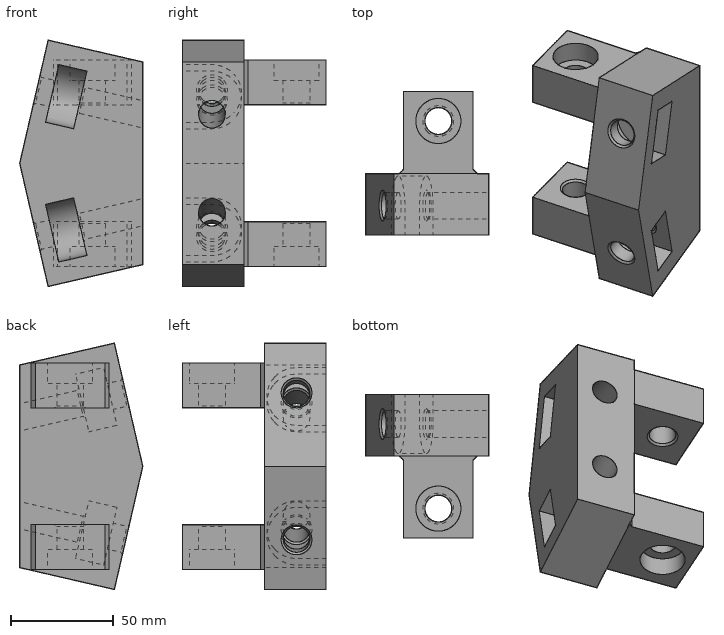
import cadquery as cq
import math

HEIGHT = 120.0
WIDTH = 60.0
THICKNESS = 30.0
SLOPE = 13.0
HALF_HEIGHT = HEIGHT / 2

HOLE_DIAMETER = 13.0
HOLE_CHAMFER = 1.0

HOLE_Z = 35.8
HOLE_Y = 14.4

SLOT_WIDTH = 14.0
SLOT_LENGTH = 28.8
SLOT_SETBACK = 7.8

ARM_LENGTH = 40.0
ARM_WIDTH = 34.0
ARM_HEIGHT = 22.0
ARM_X = 35.4
ARM_Z = 39.4
ARM_HOLE_INSET = 14.4
COUNTERBORE_DIAMETER = 22.0
COUNTERBORE_DEPTH = 10.0
FLARE = 2.0

SLOPE_TAN = math.tan(math.radians(SLOPE))
SLOPE_COS = math.cos(math.radians(SLOPE))
SLOPE_SIN = math.sin(math.radians(SLOPE))
ARM_END_Y = THICKNESS + ARM_LENGTH


def make_plate():
    corner_x = HALF_HEIGHT * SLOPE_TAN
    right_z = HALF_HEIGHT - (WIDTH - corner_x) * SLOPE_TAN
    outline = [
        (0, 0),
        (corner_x, HALF_HEIGHT),
        (WIDTH, right_z),
        (WIDTH, -right_z),
        (corner_x, -HALF_HEIGHT),
    ]
    return cq.Workplane("XZ").polyline(outline).close().extrude(-THICKNESS)


def make_hole_chamfer(face, direction):
    """Cone that breaks the edge of a hole; direction is +1 or -1 along the normal of the face."""
    return (
        face.circle(HOLE_DIAMETER / 2 + HOLE_CHAMFER)
        .workplane(offset=direction * HOLE_CHAMFER)
        .circle(HOLE_DIAMETER / 2)
        .loft(ruled=True)
    )


def make_arm(side):
    """Arm with a flared root; side is +1 (upper) or -1 (lower).

    Its hole is counterbored on the outer face and chamfered on the inner one.
    """
    half = ARM_WIDTH / 2
    flare_y = THICKNESS + FLARE
    outline = [
        (ARM_X - half - FLARE, THICKNESS),
        (ARM_X - half, flare_y),
        (ARM_X - half, ARM_END_Y),
        (ARM_X + half, ARM_END_Y),
        (ARM_X + half, flare_y),
        (ARM_X + half + FLARE, THICKNESS),
    ]
    outer_z = side * (ARM_Z + ARM_HEIGHT / 2)
    inward = -side
    base = cq.Workplane("XY", origin=(0, 0, outer_z))
    arm = base.polyline(outline).close().extrude(inward * ARM_HEIGHT)
    outer_face = cq.Workplane("XY", origin=(ARM_X, ARM_END_Y - ARM_HOLE_INSET, outer_z))
    hole = outer_face.circle(HOLE_DIAMETER / 2).extrude(inward * ARM_HEIGHT)
    counterbore = outer_face.circle(COUNTERBORE_DIAMETER / 2).extrude(inward * COUNTERBORE_DEPTH)
    inner_face = outer_face.workplane(offset=inward * ARM_HEIGHT)
    return arm.cut(hole).cut(counterbore).cut(make_hole_chamfer(inner_face, side))


def make_cross_cut(side):
    """Cross hole, its two chamfers and its slot, all along one axis square to the left face."""
    axis = cq.Plane(
        origin=(HOLE_Z * SLOPE_TAN, HOLE_Y, side * HOLE_Z),
        xDir=(0, 1, 0),
        normal=(SLOPE_COS, 0, -side * SLOPE_SIN),
    )
    face = cq.Workplane(axis)
    slot_start = face.workplane(offset=SLOT_SETBACK)
    slot_end_depth = SLOT_SETBACK + SLOT_WIDTH

    hole = face.circle(HOLE_DIAMETER / 2).extrude(WIDTH)
    slot_round = slot_start.circle(SLOT_LENGTH / 2).extrude(SLOT_WIDTH)
    slot_mouth = slot_start.center(-HOLE_Y / 2, 0).rect(HOLE_Y, SLOT_LENGTH).extrude(SLOT_WIDTH)
    cut = hole.union(slot_round).union(slot_mouth)

    for depth in (0, slot_end_depth):
        cut = cut.union(make_hole_chamfer(face.workplane(offset=depth), 1))
    return cut


result = make_plate()
for side in (1, -1):
    result = result.union(make_arm(side)).cut(make_cross_cut(side))